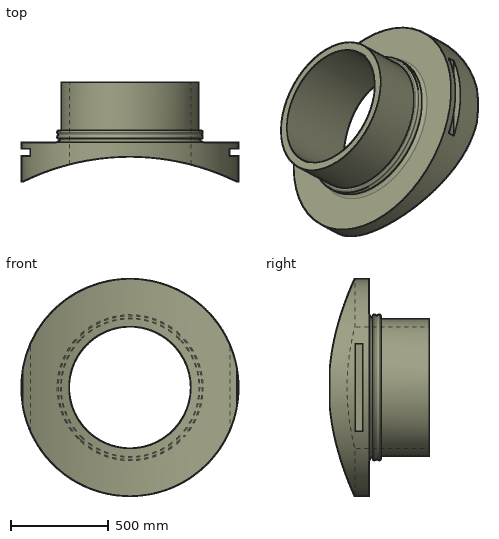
import cadquery as cq
import math


PIPE_RADIUS = 355.0
BORE_RADIUS = 312.5
PIPE_LENGTH = 310.0

FLANGE_RADIUS = 560.0
FLANGE_MIN_THICKNESS = 75.0
FLANGE_MAX_THICKNESS = 203.0
SADDLE_RADIUS = 1250.0

BEAD_RADIUS = 10.0
BEAD_PITCH = 24.0
BEAD_OUTER_RADIUS = 376.0
BEAD_START = 17.5
BEAD_GROOVE_DEPTH = 6.0
QUARTIC_MIDDLE_WEIGHT = 3 / 8

NECK_RADIUS = 32.0

SLOT_WIDTH = 37.0
SLOT_OFFSET = 33.0
SLOT_FLOOR_X = 513.0


def disc(radius, y_start, y_end):
    """Cylinder around the Y axis between two Y positions."""
    return cq.Workplane("XZ", origin=(0, y_start, 0)).circle(radius).extrude(y_start - y_end)


def saddle_flange():
    """Disc whose front is hollowed by a large cylinder with its axis along Z."""
    saddle_axis_y = -FLANGE_MIN_THICKNESS - SADDLE_RADIUS
    saddle = (
        cq.Workplane("XY", origin=(0, saddle_axis_y, -FLANGE_RADIUS))
        .circle(SADDLE_RADIUS)
        .extrude(2 * FLANGE_RADIUS)
    )
    return disc(FLANGE_RADIUS, -FLANGE_MAX_THICKNESS, 0).cut(saddle)


def neck():
    """Ring with a concave quarter-round flank running from the flange into the pipe."""
    center_radius = PIPE_RADIUS + NECK_RADIUS
    arc_offset = NECK_RADIUS * math.sqrt(0.5)
    profile = (
        cq.Workplane("XY")
        .moveTo(BORE_RADIUS, 0)
        .lineTo(center_radius, 0)
        .threePointArc((center_radius - arc_offset, NECK_RADIUS - arc_offset), (PIPE_RADIUS, NECK_RADIUS))
        .lineTo(BORE_RADIUS, NECK_RADIUS)
        .close()
    )
    return profile.revolve(360, (0, 0, 0), (0, 1, 0))


def double_bead():
    """Two rounded beads around the pipe, joined by a shallow smooth groove."""
    first_crest = BEAD_START + BEAD_RADIUS
    second_crest = first_crest + BEAD_PITCH
    bead_end = second_crest + BEAD_RADIUS
    groove_y = (first_crest + second_crest) / 2
    shoulder = BEAD_OUTER_RADIUS - BEAD_RADIUS
    groove_control_radius = BEAD_OUTER_RADIUS - BEAD_GROOVE_DEPTH / QUARTIC_MIDDLE_WEIGHT
    arc_offset = BEAD_RADIUS * math.sqrt(0.5)
    arc_radius = shoulder + arc_offset
    profile = (
        cq.Workplane("XY")
        .moveTo(BORE_RADIUS, BEAD_START)
        .lineTo(shoulder, BEAD_START)
        .threePointArc((arc_radius, first_crest - arc_offset), (BEAD_OUTER_RADIUS, first_crest))
        .bezier(
            [
                (BEAD_OUTER_RADIUS, first_crest),
                (BEAD_OUTER_RADIUS, groove_y),
                (groove_control_radius, groove_y),
                (BEAD_OUTER_RADIUS, groove_y),
                (BEAD_OUTER_RADIUS, second_crest),
            ]
        )
        .threePointArc((arc_radius, second_crest + arc_offset), (shoulder, bead_end))
        .lineTo(BORE_RADIUS, bead_end)
        .close()
    )
    return profile.revolve(360, (0, 0, 0), (0, 1, 0))


def side_slots():
    """Flat-floored slots cut into the flange rim on the -X and +X sides."""
    slot_depth = FLANGE_RADIUS - SLOT_FLOOR_X
    center_x = SLOT_FLOOR_X + slot_depth / 2
    center_y = -SLOT_OFFSET - SLOT_WIDTH / 2
    return (
        cq.Workplane("XY")
        .pushPoints([(-center_x, center_y), (center_x, center_y)])
        .box(slot_depth, SLOT_WIDTH, 2 * FLANGE_RADIUS)
    )


body = saddle_flange().cut(side_slots())
body = body.union(disc(PIPE_RADIUS, 0, PIPE_LENGTH)).union(neck()).union(double_bead())
result = body.cut(disc(BORE_RADIUS, -FLANGE_MAX_THICKNESS, PIPE_LENGTH))